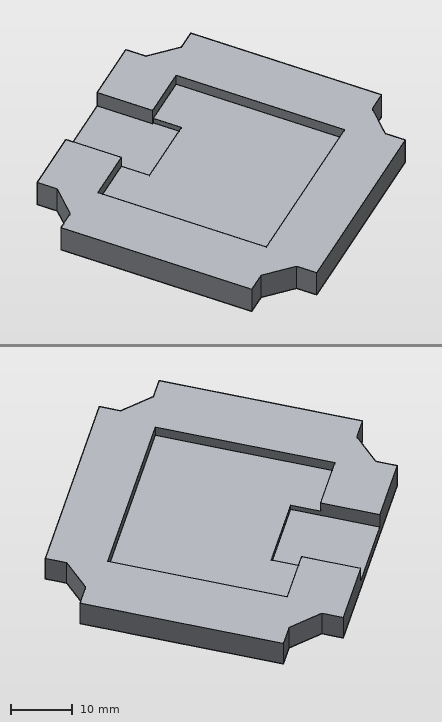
import cadquery as cq
import math

plate_side = 49.8
plate_thickness = 5.0
corner_count = 4
edge_length = 34.0
notch_bevel_length = 6.1

pocket_side = 30.0
pocket_depth = 2.0

channel_width = 12.0
channel_depth = 3.0
recess_length = 5.0
recess_side_step = 0.25

half_plate = plate_side / 2
half_pocket = pocket_side / 2
half_channel = channel_width / 2


def box_cut(x_min, x_max, y_min, y_max, depth):
    """Box reaching from the top face down to the given depth."""
    return cq.Workplane("XY").box(
        x_max - x_min, y_max - y_min, depth, centered=False
    ).translate((x_min, y_min, plate_thickness - depth))


def notched_plate():
    """Square plate with a bevelled square notch at each corner."""
    notch_size = (plate_side - edge_length) / 2
    bevel_leg = notch_bevel_length / math.sqrt(2)
    outer = half_plate
    inner = half_plate - notch_size
    bevel_end = inner + bevel_leg

    corner = [(outer, inner), (bevel_end, inner), (inner, bevel_end), (inner, outer)]
    outline = []
    for _ in range(corner_count):
        outline += corner
        corner = [(-y, x) for x, y in corner]
    return cq.Workplane("XY").polyline(outline).close().extrude(plate_thickness)


def pocket():
    return box_cut(-half_pocket, half_pocket, -half_pocket, half_pocket, pocket_depth)


def channel():
    return box_cut(-half_plate, -half_pocket, -half_channel, half_channel, channel_depth)


def recess():
    recess_end = -half_pocket + recess_length
    recess_top = half_channel + recess_side_step
    return box_cut(-half_pocket, recess_end, -half_channel, recess_top, channel_depth)


result = notched_plate().cut(pocket()).cut(channel()).cut(recess())